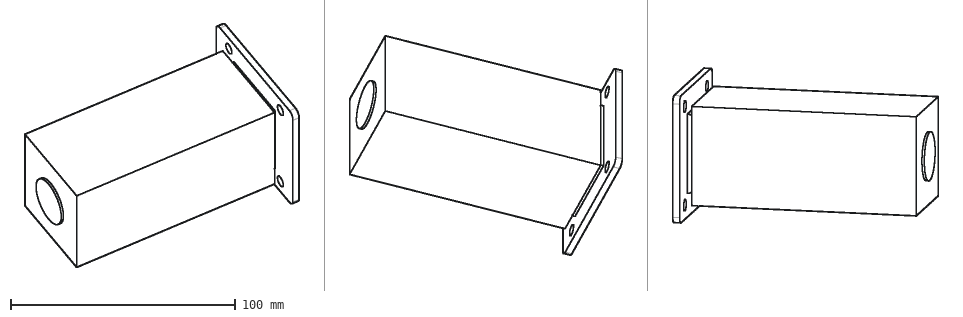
import cadquery as cq
import math

plate_width = 67.0
plate_height = 58.0
plate_thickness = 3.2
corner_radius = 3.2
hole_diameter = 5.1

collar_side = 36.1
collar_length = 3.1
collar_straight = 0.2
collar_round_radius = 3.3

overall_length = 110.0
leg_side = 45.2
pad_diameter = 22.0
pad_length = 1.1
leg_length = overall_length - plate_thickness - collar_length - pad_length

leg_front = pad_length
leg_back = leg_front + leg_length
plate_front = leg_back + collar_length

hole_spacing = 45.0


def section_at(y):
    """Workplane parallel to XZ at y; a negative extrusion runs toward +Y."""
    return cq.Workplane("XZ", origin=(0, y, 0))


def make_collar():
    """Square collar whose four sides curve inward from plate to leg, meeting at sharp mitres."""
    half_side = collar_side / 2
    round_start = plate_front - collar_straight
    arc_centre_x = half_side - collar_round_radius
    arc_angle = math.asin((round_start - leg_back) / collar_round_radius)

    def arc_point(angle, side):
        return (
            side * (arc_centre_x + collar_round_radius * math.cos(angle)),
            round_start - collar_round_radius * math.sin(angle),
        )

    profile = (
        cq.Workplane("XY")
        .moveTo(-half_side, plate_front)
        .lineTo(half_side, plate_front)
        .lineTo(half_side, round_start)
        .threePointArc(arc_point(arc_angle / 2, 1), arc_point(arc_angle, 1))
        .lineTo(*arc_point(arc_angle, -1))
        .threePointArc(arc_point(arc_angle / 2, -1), (-half_side, round_start))
        .close()
    )
    rounded_in_x = profile.extrude(half_side, both=True)
    rounded_in_z = rounded_in_x.rotate((0, 0, 0), (0, 1, 0), 90)
    return rounded_in_x.intersect(rounded_in_z)


def make_mounting_plate():
    """Rounded plate with four corner holes and the collar on its front."""
    plate = (
        section_at(plate_front)
        .rect(plate_width, plate_height)
        .extrude(-plate_thickness)
        .edges("|Y")
        .fillet(corner_radius)
    )
    holes = (
        section_at(plate_front)
        .rect(hole_spacing, hole_spacing, forConstruction=True)
        .vertices()
        .circle(hole_diameter / 2)
        .extrude(-plate_thickness)
    )
    return plate.cut(holes).union(make_collar())


def make_leg():
    """Square leg with a round pad on its free end."""
    block = section_at(leg_front).rect(leg_side, leg_side).extrude(-leg_length)
    pad = section_at(0).circle(pad_diameter / 2).extrude(-pad_length)
    return block.union(pad)


mounting_plate = make_mounting_plate()
leg = make_leg()

result = cq.Compound.makeCompound([mounting_plate.val(), leg.val()])